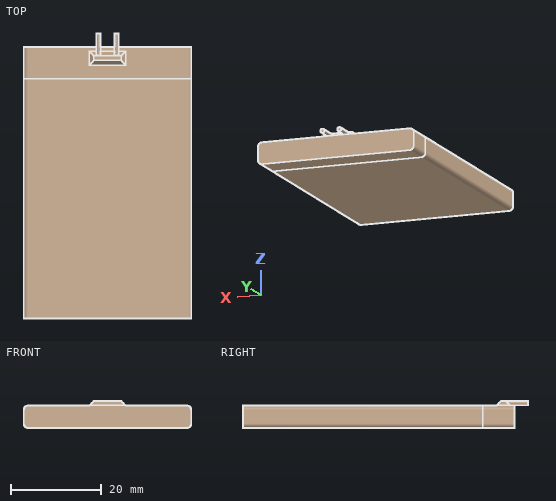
import cadquery as cq

pack_width = 37.0
pack_length = 60.0
pack_thickness = 5.0
edge_radius = 1.0

cap_length = 7.0
cell_length = pack_length - cap_length

pad_width = 8.0
pad_depth = 3.0
pad_height = 1.0
pad_end_gap = 1.0
pad_back_y = pack_length - pad_end_gap
pad_center_y = pad_back_y - pad_depth / 2

lead_diameter = 1.0
lead_spacing = 4.0
lead_overhang = 3.0
lead_start_y = pad_back_y - pad_height
lead_end_y = pack_length + lead_overhang
lead_center_z = pack_thickness + lead_diameter / 2


def make_pack_section(start_y, length):
    """Flat bar with its four long edges rounded, running along +Y from start_y."""
    return (
        cq.Workplane("XY")
        .box(pack_width, length, pack_thickness, centered=(True, False, False))
        .edges("|Y")
        .fillet(edge_radius)
        .translate((0, start_y, 0))
    )


def make_pad():
    """Raised pad that the leads come out of."""
    return (
        cq.Workplane("XY", origin=(0, pad_center_y, pack_thickness))
        .rect(pad_width, pad_depth)
        .workplane(offset=pad_height)
        .rect(pad_width - 2 * pad_height, pad_depth - 2 * pad_height)
        .loft(ruled=True)
    )


def make_lead(center_x):
    """One wire from the pad, its inner end trimmed flush to the pad's rear slope."""
    return (
        cq.Workplane("XZ", origin=(center_x, lead_start_y, lead_center_z))
        .circle(lead_diameter / 2)
        .extrude(lead_start_y - lead_end_y)
        .cut(make_pad())
    )


cell = make_pack_section(0, cell_length)

end_cap = make_pack_section(cell_length, cap_length).union(make_pad())

leads = [make_lead(side * lead_spacing / 2) for side in (-1, 1)]

result = cq.Compound.makeCompound([cell.val(), end_cap.val(), *[lead.val() for lead in leads]])